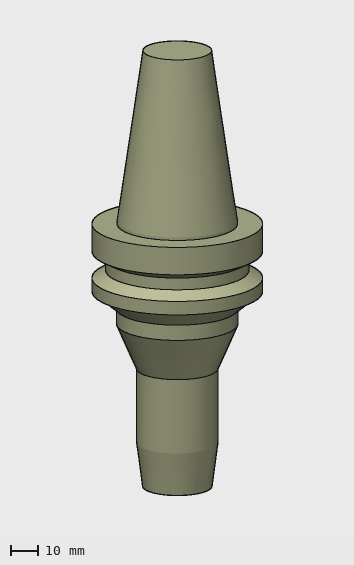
import cadquery as cq

shank_tip_dia = 25.4
gauge_dia = 44.5
flange_dia = 63.0
groove_dia = 53.0
flange_cone_dia = 60.1
collar_dia = 45.0
nose_dia = 30.0
nose_tip_dia = 25.7

nose_taper_top = 16.7
nose_top = 45.1
collar_bottom = 62.3
collar_top = 68.1
flange_bottom = 74.6
groove_lower_edge = 79.8
groove_floor_bottom = 82.8
groove_floor_top = 87.3
groove_upper_edge = 90.0
flange_top = 100.5
gauge_height = 101.5
total_length = 167.0

profile = [
    (nose_tip_dia, 0),
    (nose_dia, nose_taper_top),
    (nose_dia, nose_top),
    (collar_dia, collar_bottom),
    (collar_dia, collar_top),
    (flange_cone_dia, flange_bottom),
    (flange_dia, flange_bottom),
    (flange_dia, groove_lower_edge),
    (groove_dia, groove_floor_bottom),
    (groove_dia, groove_floor_top),
    (flange_dia, groove_upper_edge),
    (flange_dia, flange_top),
    (gauge_dia, flange_top),
    (gauge_dia, gauge_height),
    (shank_tip_dia, total_length),
]

outline = cq.Workplane("XZ").moveTo(0, 0)
for diameter, height in profile:
    outline = outline.lineTo(diameter / 2, height)

result = outline.lineTo(0, total_length).close().revolve(360, (0, 0, 0), (0, 1, 0))